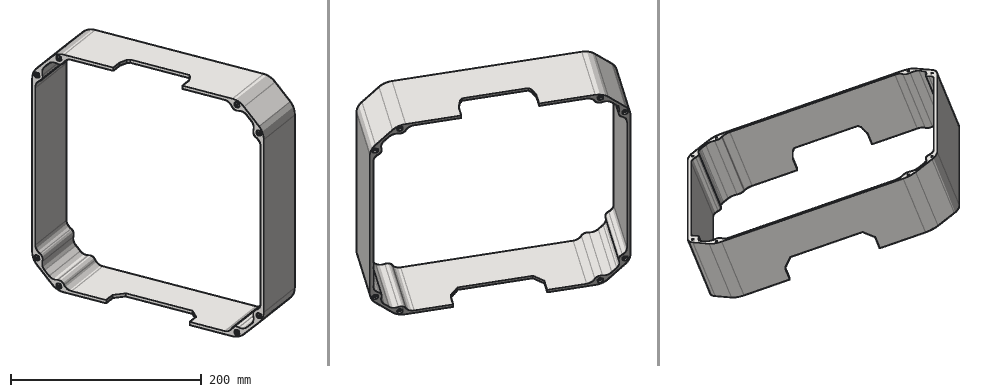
import cadquery as cq
import math

side = 280.0
depth = 66.0
wall = 4.0
corner_cut = 30.0
outer_round = 20.0

boss_inset = 6.0
boss_radius = 7.0
boss_blend = 10.0
pilot_diameter = 1.8
head_diameter = 6.2
head_depth = 3.0

top_notch_half_width = 41.7
top_notch_depth = 25.0
top_notch_straight = 13.5
top_notch_slope_run = 3.5
top_notch_chamfer = 2.8

bottom_notch_half_width = 50.5
bottom_notch_depth = 23.8
bottom_notch_chamfer = 10.0

half_side = side / 2
front_y = -depth / 2
back_y = depth / 2
half_corner_turn = math.radians(45) / 2


def octagon(inset):
    """Corners of the octagon whose edges lie inset from the outer faces."""
    reach = half_side - inset
    run = half_side - corner_cut - inset * math.tan(half_corner_turn)
    return [
        (run, reach), (reach, run), (reach, -run), (run, -reach),
        (-run, -reach), (-reach, -run), (-reach, run), (-run, reach),
    ]


def back_plane():
    """XZ workplane on the back face, extruding toward the front."""
    return cq.Workplane("XZ", origin=(0, back_y, 0))


def octagon_prism(inset):
    return back_plane().polyline(octagon(inset)).close().extrude(depth)


boss_centers = octagon(boss_inset)


def make_frame():
    """Ring with rounded outer corners and bosses blended into the inner walls."""
    body = octagon_prism(0).edges("|Y").fillet(outer_round)
    bosses = back_plane().pushPoints(boss_centers).circle(boss_radius).extrude(depth)
    opening = octagon_prism(wall).cut(bosses).edges("|Y").fillet(boss_blend)
    return body.cut(opening)


def front_bores(diameter, length):
    """Bores running back from the front face, one at every boss."""
    bore_end = cq.Workplane("XZ", origin=(0, front_y + length, 0))
    return bore_end.pushPoints(boss_centers).circle(diameter / 2).extrude(length)


def notch_cutter(right_side, base_z):
    """Notch symmetric about X = 0, from (x, distance behind the front face) points."""
    left_side = [(-x, y) for x, y in reversed(right_side)]
    cutter_plane = cq.Workplane("XY", origin=(0, front_y, base_z))
    return cutter_plane.polyline(right_side + left_side).close().extrude(half_side)


def top_notch():
    knee_x = top_notch_half_width - top_notch_slope_run
    right_side = [
        (top_notch_half_width, 0),
        (top_notch_half_width, top_notch_straight),
        (knee_x, top_notch_depth - top_notch_chamfer),
        (knee_x - top_notch_chamfer, top_notch_depth),
    ]
    return notch_cutter(right_side, 0)


def bottom_notch():
    right_side = [
        (bottom_notch_half_width, 0),
        (bottom_notch_half_width, bottom_notch_depth - bottom_notch_chamfer),
        (bottom_notch_half_width - bottom_notch_chamfer, bottom_notch_depth),
    ]
    return notch_cutter(right_side, -half_side)


result = (
    make_frame()
    .cut(front_bores(pilot_diameter, depth))
    .cut(front_bores(head_diameter, head_depth))
    .cut(top_notch())
    .cut(bottom_notch())
)